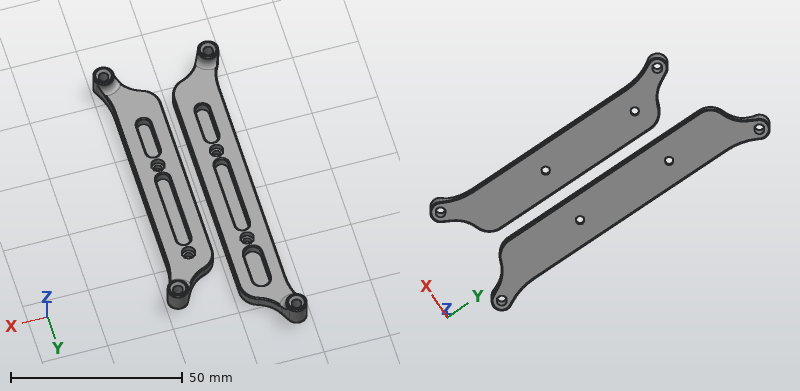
import cadquery as cq
import math

LENGTH = 97.1
PLATE_HEIGHT = 4.0
PLATE_INNER_X = 1.9
PLATE_OUTER_X = 15.9
EDGE_CHAMFER = 0.4

BOSS_D = 6.1
BOSS_R = BOSS_D / 2
BOSS_X = PLATE_OUTER_X
BOSS_HEIGHT = 7.0
BOSS_HOLE_D = 2.9
BOSS_SINK_D = 4.8
FLARE_R = 2.0

LOW_BOSS_Y = BOSS_R
LEFT_HIGH_BOSS_Y = LENGTH - BOSS_R
RIGHT_HIGH_BOSS_Y = 79.6

ARM_ANGLE = math.radians(28)
OUTER_BEND_R = 19.8
INNER_BEND_R = 10.0
CORNER_R = 6.0
CORNER_RISE = 11.8

HOLE_X = (PLATE_INNER_X + PLATE_OUTER_X) / 2
LOW_HOLE_Y = 35.4
HIGH_HOLE_Y = 66.9
HOLE_D = 2.4
COUNTERBORE_D = 4.0
COUNTERBORE_DEPTH = 2.0

POCKET_DEPTH = 3.0
POCKET_CHAMFER = 0.4
POCKET_GAP = 2.7
POCKET_W = 4.9
TOP_POCKET_W = 5.9
LOW_POCKET_LENGTH = 14.3
TOP_POCKET_LENGTH = 14.7
MIDDLE_POCKET_LENGTH = HIGH_HOLE_Y - LOW_HOLE_Y - 2 * POCKET_GAP


def end_profile(middle_y):
    """Outline of the left rail's lower half, from its lower boss up to middle_y."""
    boss = cq.Vector(-BOSS_X, LOW_BOSS_Y)
    along = cq.Vector(math.sin(ARM_ANGLE), math.cos(ARM_ANGLE))
    inward = cq.Vector(math.cos(ARM_ANGLE), -math.sin(ARM_ANGLE))

    boss_outer = boss - inward * BOSS_R
    bend_start_x = -PLATE_OUTER_X - OUTER_BEND_R * (1 - math.cos(ARM_ANGLE))
    outer_flat = (bend_start_x - boss_outer.x) / along.x
    bend_start = boss_outer + along * outer_flat
    bend_end = cq.Vector(-PLATE_OUTER_X, bend_start.y + OUTER_BEND_R * math.sin(ARM_ANGLE))

    boss_inner = boss + inward * BOSS_R
    corner_end = cq.Vector(-PLATE_INNER_X, LOW_BOSS_Y + CORNER_RISE)
    corner_center = corner_end - cq.Vector(CORNER_R, 0)
    to_corner = corner_center - boss
    across_gap = BOSS_R + INNER_BEND_R - to_corner.dot(inward)
    center_gap = INNER_BEND_R + CORNER_R
    inner_flat = to_corner.dot(along) - math.sqrt(center_gap**2 - across_gap**2)
    hollow_start = boss_inner + along * inner_flat
    hollow_center = hollow_start + inward * INNER_BEND_R
    corner_start = corner_center + (hollow_center - corner_center) * (CORNER_R / center_gap)

    return (
        cq.Workplane("XY")
        .moveTo(-PLATE_OUTER_X, middle_y)
        .lineTo(bend_end.x, bend_end.y)
        .tangentArcPoint(bend_start.toTuple()[:2], relative=False)
        .lineTo(boss_outer.x, boss_outer.y)
        .threePointArc((boss - along * BOSS_R).toTuple()[:2], boss_inner.toTuple()[:2])
        .lineTo(hollow_start.x, hollow_start.y)
        .tangentArcPoint(corner_start.toTuple()[:2], relative=False)
        .tangentArcPoint(corner_end.toTuple()[:2], relative=False)
        .lineTo(-PLATE_INNER_X, middle_y)
        .close()
    )


def plate_slab(high_boss_y):
    """Plain rail outline at plate height, both ends alike."""
    middle_y = (LOW_BOSS_Y + high_boss_y) / 2
    return mirror_ends(end_profile(middle_y).extrude(PLATE_HEIGHT), middle_y)


def mirror_ends(half, middle_y):
    """Join a lower half with its mirror image across Y = middle_y."""
    return half.union(half.mirror("XZ", (0, middle_y, 0))).clean()


def plate_relief(reach):
    """Half ring above the lower end of the plate that leaves the boss and its flare standing."""
    flare_outer = BOSS_R + FLARE_R
    arc_offset = FLARE_R * (1 - math.sqrt(0.5))
    return (
        cq.Workplane("XZ")
        .moveTo(BOSS_R, BOSS_HEIGHT)
        .lineTo(BOSS_R, PLATE_HEIGHT + FLARE_R)
        .threePointArc((BOSS_R + arc_offset, PLATE_HEIGHT + arc_offset), (flare_outer, PLATE_HEIGHT))
        .lineTo(reach, PLATE_HEIGHT)
        .lineTo(reach, BOSS_HEIGHT)
        .close()
        .revolve(180, (0, 0), (0, 1))
        .rotate((0, 0, 0), (0, 0, 1), -math.degrees(ARM_ANGLE))
        .translate((-BOSS_X, LOW_BOSS_Y, 0))
    )


def plate_edge_trim(high_boss_y):
    """Sliver that chamfers the top edge of the plate and stops where the flares begin."""
    slab = plate_slab(high_boss_y)
    trim = slab.cut(slab.faces(">Z").edges().chamfer(EDGE_CHAMFER))
    for y in (LOW_BOSS_Y, high_boss_y):
        flare_foot = cq.Workplane("XY").circle(BOSS_R + FLARE_R).extrude(PLATE_HEIGHT)
        trim = trim.cut(flare_foot.translate((-BOSS_X, y, 0)))
    return trim


def rail_blank(high_boss_y):
    """Left rail with its bosses and outer chamfers, before any holes."""
    middle_y = (LOW_BOSS_Y + high_boss_y) / 2
    half = end_profile(middle_y).extrude(BOSS_HEIGHT).cut(plate_relief(high_boss_y))
    blank = mirror_ends(half, middle_y)
    blank = blank.faces("<Z").edges().chamfer(EDGE_CHAMFER)
    blank = blank.faces(">Z").edges().chamfer(EDGE_CHAMFER)
    return blank.cut(plate_edge_trim(high_boss_y))


def boss_hole(y):
    """Through hole of a boss with a countersunk mouth."""
    hole_r = BOSS_HOLE_D / 2
    sink_r = BOSS_SINK_D / 2
    sink_depth = sink_r - hole_r
    return (
        cq.Workplane("XZ")
        .lineTo(hole_r, 0)
        .lineTo(hole_r, BOSS_HEIGHT - sink_depth)
        .lineTo(sink_r, BOSS_HEIGHT)
        .lineTo(0, BOSS_HEIGHT)
        .close()
        .revolve(360, (0, 0), (0, 1))
        .translate((-BOSS_X, y, 0))
    )


def screw_hole(y):
    """Through hole with a counterbore in the top of the plate."""
    hole = cq.Workplane("XY").circle(HOLE_D / 2).extrude(PLATE_HEIGHT)
    bore = (
        cq.Workplane("XY", origin=(0, 0, PLATE_HEIGHT - COUNTERBORE_DEPTH))
        .circle(COUNTERBORE_D / 2)
        .extrude(COUNTERBORE_DEPTH)
    )
    return hole.union(bore).translate((-HOLE_X, y, 0))


def pocket(low_y, length, width):
    """Blind round-ended pocket; length and width are those of its chamfered rim."""
    return (
        cq.Workplane("XY", origin=(-HOLE_X, low_y + length / 2, PLATE_HEIGHT))
        .slot2D(length - 2 * POCKET_CHAMFER, width - 2 * POCKET_CHAMFER, 90)
        .extrude(-POCKET_DEPTH)
        .union(
            cq.Workplane("XY", origin=(-HOLE_X, low_y + length / 2, PLATE_HEIGHT))
            .slot2D(length, width, 90)
            .extrude(-POCKET_CHAMFER, taper=45)
        )
    )


def rail(high_boss_y):
    """Left-hand rail with the holes and pockets that both rails share."""
    body = rail_blank(high_boss_y)
    for y in (LOW_BOSS_Y, high_boss_y):
        body = body.cut(boss_hole(y))
    for y in (LOW_HOLE_Y, HIGH_HOLE_Y):
        body = body.cut(screw_hole(y))

    low_pocket_y = LOW_HOLE_Y - POCKET_GAP - LOW_POCKET_LENGTH
    body = body.cut(pocket(low_pocket_y, LOW_POCKET_LENGTH, POCKET_W))
    return body.cut(pocket(LOW_HOLE_Y + POCKET_GAP, MIDDLE_POCKET_LENGTH, POCKET_W))


left_rail = rail(LEFT_HIGH_BOSS_Y).cut(pocket(HIGH_HOLE_Y + POCKET_GAP, TOP_POCKET_LENGTH, TOP_POCKET_W))

right_rail = rail(RIGHT_HIGH_BOSS_Y).mirror("YZ")

result = cq.Compound.makeCompound([left_rail.solids().val(), right_rail.solids().val()])